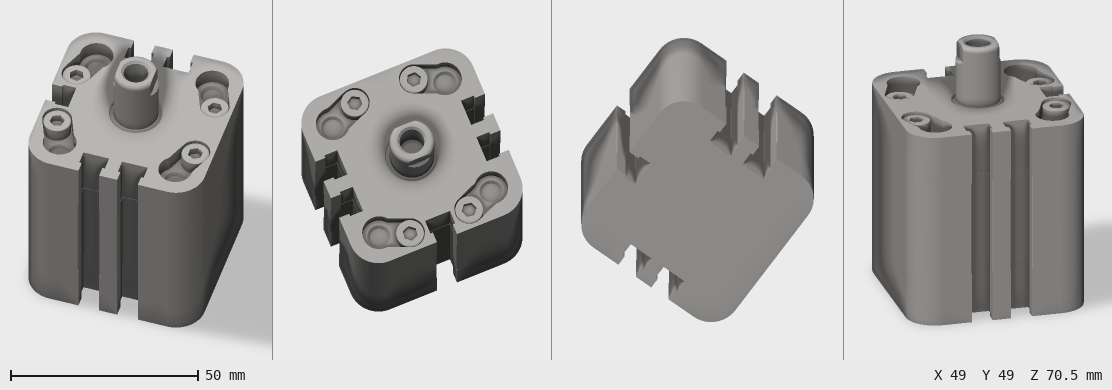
import cadquery as cq
import math


body_width = 49.0
corner_radius = 8.0
cap_height = 14.0
total_height = 70.5
rod_projection = 16.5
body_height = total_height - rod_projection
barrel_height = body_height - 2 * cap_height

slot_mouth_width = 5.8
slot_inner_width = 7.2
slot_lip = 2.9
slot_depth = 6.6
slot_spacing = 10.85
barrel_mouth_chamfer = 0.2
barrel_slot_inset = 0.105
barrel_slot_round = 0.35

pocket_depth = 4.6
mount_offset = 16.2
mount_pocket_diameter = 9.0
screw_pocket_diameter = 8.0
countersink_top_diameter = 6.35
countersink_bottom_diameter = 4.9
countersink_depth = 0.7

screw_x = 19.4
screw_y = 8.5
screw_head_diameter = 7.5
screw_head_recess = 0.7
screw_edge_round = 0.2
socket_across_flats = 3.5
socket_depth = 2.1
screws = [(-1, -1, 21), (1, -1, 30), (-1, 1, -9), (1, 1, 0)]

groove_rim_diameter = 14.5
groove_wall_diameter = 14.0
wiper_foot_diameter = 13.7
wiper_lip_diameter = 12.55
groove_depth = 0.55
rim_chamfer = (groove_rim_diameter - groove_wall_diameter) / 2
lip_recess = 0.15

rod_diameter = 12.0
rod_round = 1.2
flat_width = 10.0
flat_length = 4.45
bore_diameter = 6.6
bore_mouth_diameter = 8.0
bore_depth = 12.0
bore_end_diameter = 5.2
bore_end_length = 0.4

barrel_top = cap_height + barrel_height


def slot_cutter(height, inset):
    """T-slot open towards -Y at the middle of the -Y side; the inner chamber is smaller by the inset."""
    face = -body_width / 2
    half_mouth = slot_mouth_width / 2
    half_inner = slot_inner_width / 2 - inset
    lip_edge = face + slot_lip
    floor = face + slot_depth - inset
    return (
        cq.Workplane("XY")
        .moveTo(-half_mouth, face)
        .lineTo(-half_mouth, lip_edge)
        .lineTo(-half_inner, lip_edge)
        .lineTo(-half_inner, floor)
        .lineTo(half_inner, floor)
        .lineTo(half_inner, lip_edge)
        .lineTo(half_mouth, lip_edge)
        .lineTo(half_mouth, face)
        .close()
        .extrude(height)
    )


def mouth_bevel(height):
    """Wedge-sided strip that chamfers both edges of a slot mouth on the -Y side."""
    face = -body_width / 2
    half_mouth = slot_mouth_width / 2
    return (
        cq.Workplane("XY")
        .moveTo(-half_mouth - barrel_mouth_chamfer, face)
        .lineTo(-half_mouth, face + barrel_mouth_chamfer)
        .lineTo(half_mouth, face + barrel_mouth_chamfer)
        .lineTo(half_mouth + barrel_mouth_chamfer, face)
        .close()
        .extrude(height)
    )


def rounded_block(height):
    """Square block with round corners, standing on the XY plane."""
    return cq.Workplane("XY").rect(body_width, body_width).extrude(height).edges("|Z").fillet(corner_radius)


def cut_at_slots(block, cutter):
    """Cut the same shape at the two slots on -Y, the two on +Y and the one on -X."""
    for side in (-1, 1):
        shifted = cutter.translate((side * slot_spacing / 2, 0, 0))
        block = block.cut(shifted).cut(shifted.mirror("XZ"))
    return block.cut(cutter.rotate((0, 0, 0), (0, 0, 1), -90))


def cap_block(bottom):
    """Slotted blank of either end cap."""
    blank = cut_at_slots(rounded_block(cap_height), slot_cutter(cap_height, 0))
    return blank.translate((0, 0, bottom))


def cone_stack(profile):
    """Solid of revolution about Z from (radius, height) points that start and end on the axis."""
    return cq.Workplane("XZ").polyline(profile).close().revolve(360, (0, 0, 0), (0, 1, 0))


def corner_pocket(x_sign, y_sign):
    """Pocket joining a mounting countersink to its screw, with both ends round."""
    mount = (x_sign * mount_offset, y_sign * mount_offset)
    screw = (x_sign * screw_x, y_sign * screw_y)
    centre = ((mount[0] + screw[0]) / 2, (mount[1] + screw[1]) / 2)
    span = (screw[0] - mount[0], screw[1] - mount[1])
    distance = math.hypot(*span)
    direction = math.degrees(math.atan2(span[1], span[0]))
    floor = cq.Workplane("XY", origin=(0, 0, body_height - pocket_depth))
    channel = (
        floor.center(*centre)
        .transformed(rotate=(0, 0, direction))
        .rect(distance, screw_pocket_diameter)
        .extrude(pocket_depth)
    )
    mount_end = floor.center(*mount).circle(mount_pocket_diameter / 2).extrude(pocket_depth)
    screw_end = floor.center(*screw).circle(screw_pocket_diameter / 2).extrude(pocket_depth)
    return channel.union(mount_end).union(screw_end)


def mount_countersink(x_sign, y_sign):
    """Conical recess in the pocket floor that ends on a flat bottom."""
    floor = body_height - pocket_depth
    recess = cone_stack([
        (0, floor - countersink_depth),
        (countersink_bottom_diameter / 2, floor - countersink_depth),
        (countersink_top_diameter / 2, floor),
        (0, floor),
    ])
    return recess.translate((x_sign * mount_offset, y_sign * mount_offset, 0))


def screw_head(x_sign, y_sign, socket_turn):
    """Socket screw head standing on the pocket floor."""
    head = (
        cq.Workplane("XY")
        .circle(screw_head_diameter / 2)
        .extrude(pocket_depth - screw_head_recess)
        .faces(">Z")
        .edges()
        .fillet(screw_edge_round)
    )
    socket_corner_diameter = socket_across_flats / math.cos(math.pi / 6)
    socket = (
        head.faces(">Z")
        .workplane()
        .polygon(6, socket_corner_diameter)
        .extrude(-socket_depth, combine=False)
        .rotate((0, 0, 0), (0, 0, 1), socket_turn)
    )
    place = (x_sign * screw_x, y_sign * screw_y, body_height - pocket_depth)
    return head.cut(socket).translate(place)


def make_front_cap():
    """Upper cap with rod passage, wiper groove, corner pockets and its screws."""
    cap = cap_block(barrel_top)
    rod_passage = cq.Workplane("XY", origin=(0, 0, barrel_top)).circle(rod_diameter / 2).extrude(cap_height)
    wiper_groove = cone_stack([
        (0, body_height - lip_recess),
        (wiper_lip_diameter / 2, body_height - lip_recess),
        (wiper_foot_diameter / 2, body_height - groove_depth),
        (groove_wall_diameter / 2, body_height - groove_depth),
        (groove_wall_diameter / 2, body_height - rim_chamfer),
        (groove_rim_diameter / 2, body_height),
        (0, body_height),
    ])
    cap = cap.cut(rod_passage).cut(wiper_groove)
    for x_sign, y_sign, socket_turn in screws:
        cap = cap.cut(corner_pocket(x_sign, y_sign)).cut(mount_countersink(x_sign, y_sign))
        cap = cap.union(screw_head(x_sign, y_sign, socket_turn))
    return cap


def make_barrel():
    """Middle extrusion; its slots are tighter than in the caps, with round floor corners and bevelled mouths."""
    slot = slot_cutter(barrel_height, barrel_slot_inset).edges("|Z and >Y").fillet(barrel_slot_round)
    block = cut_at_slots(rounded_block(barrel_height), slot)
    block = cut_at_slots(block, mouth_bevel(barrel_height))
    return block.translate((0, 0, cap_height))


def make_rear_cap():
    """Plain lower cap."""
    return cap_block(0)


def make_rod():
    """Rod with a rounded tip, two wrench flats and a chamfered blind bore; it rests on the barrel."""
    rod = (
        cq.Workplane("XY", origin=(0, 0, barrel_top))
        .circle(rod_diameter / 2)
        .extrude(total_height - barrel_top)
        .faces(">Z")
        .edges()
        .fillet(rod_round)
    )
    flat_bottom = total_height - flat_length
    flat_step = (rod_diameter - flat_width) / 2
    flat_cutter = (
        cq.Workplane("XZ")
        .moveTo(flat_width / 2, total_height)
        .lineTo(flat_width / 2, flat_bottom)
        .lineTo(rod_diameter / 2, flat_bottom - flat_step)
        .lineTo(rod_diameter / 2, total_height)
        .close()
        .extrude(rod_diameter / 2, both=True)
    )
    bore_bottom = total_height - bore_depth
    mouth_chamfer = (bore_mouth_diameter - bore_diameter) / 2
    bore = cone_stack([
        (0, bore_bottom - bore_end_length),
        (bore_end_diameter / 2, bore_bottom - bore_end_length),
        (bore_diameter / 2, bore_bottom),
        (bore_diameter / 2, total_height - mouth_chamfer),
        (bore_mouth_diameter / 2, total_height),
        (0, total_height),
    ])
    return rod.cut(flat_cutter).cut(flat_cutter.mirror("YZ")).cut(bore)


front_cap = make_front_cap()
barrel = make_barrel()
rear_cap = make_rear_cap()
rod = make_rod()

result = cq.Compound.makeCompound([front_cap.val(), barrel.val(), rear_cap.val(), rod.val()])